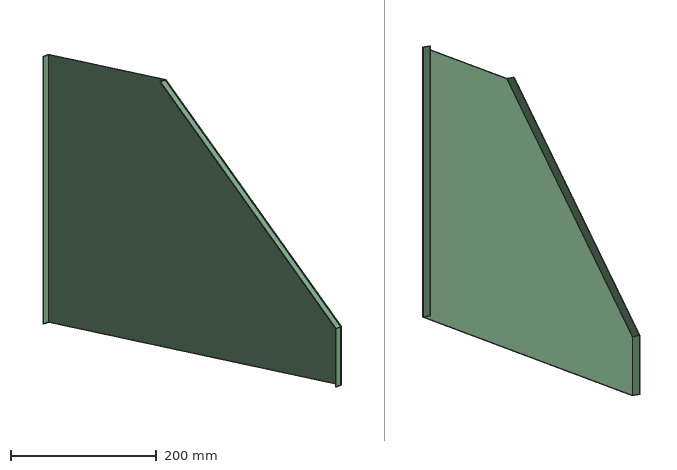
import cadquery as cq

width = 500.0
height = 384.5
depth = 12.5
sheet = 0.8
top_edge = 200.5
right_edge = 84.0

bottom_left = (0, 0)
bottom_right = (width, 0)
slope_end = (width, right_edge)
slope_start = (top_edge, height)
top_left = (0, height)
outline = [bottom_left, bottom_right, slope_end, slope_start, top_left]


def panel_prism(length):
    """Extrude the panel outline from the back face (Y = 0) toward -Y."""
    return cq.Workplane("XZ").polyline(outline).close().extrude(length)


def flange(start, end):
    """Flange standing on one outline edge, its thickness inside the outline."""
    along = cq.Vector(end[0] - start[0], 0, end[1] - start[1])
    plane = cq.Plane(origin=(start[0], 0, start[1]), xDir=along, normal=(0, -1, 0))
    strip = (
        cq.Workplane(plane)
        .rect(along.Length * 3, sheet * 2)
        .extrude(depth)
    )
    return strip.intersect(panel_prism(depth))


result = panel_prism(sheet)
for start, end in [
    (top_left, bottom_left),
    (slope_end, slope_start),
    (bottom_right, slope_end),
]:
    result = result.union(flange(start, end))